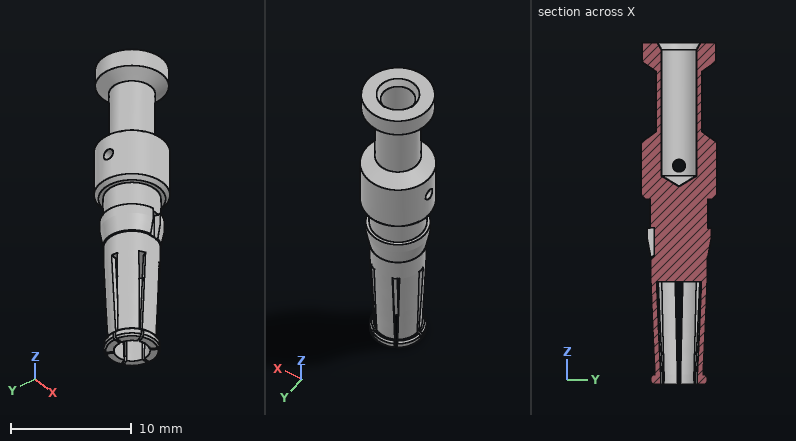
import cadquery as cq
import math

total_length = 28.25
head_rim_height = 1.65
head_cone_height = 0.75
neck_bottom = 20.9
barrel_top = 20.03
barrel_bottom = 15.65
barrel_chamfer = 0.37
collar_top = 12.95
collar_cone_top = 12.03
collar_bottom = 10.42
collar_edge_chamfer = 0.08
finger_root = 8.48
finger_bend = 4.3
lip_height = 0.8
lip_chamfer = 0.17

head_radius = 3.05
neck_radius = 1.92
barrel_radius = 6.3 / 2
shank_radius = 2.4
collar_radius = 2.68
collar_end_radius = shank_radius
socket_radius = 2.35
finger_bend_radius = 2.18
finger_end_radius = 2.0
lip_radius = socket_radius

bore_radius = 1.45
countersink_width = 0.35
countersink_depth = 0.6
bore_bottom = 17.23
drill_tip_angle = 118.0

inspection_radius = 1.0 / 2
inspection_height = 18.08

gap_width = 0.93
gap_floor_radius = 2.05
gap_ramp_height = 0.23

finger_thickness = 0.5
slot_count = 6
slot_root_width = 0.6
slot_tip_width = 0.2


def revolved(points):
    """Solid of revolution about Z from a closed (radius, height) outline."""
    return cq.Workplane("XZ").polyline(points).close().revolve(360, (0, 0), (0, 1))


def turned_body():
    head_rim_bottom = total_length - head_rim_height
    neck_top = head_rim_bottom - head_cone_height
    return revolved([
        (0, 0),
        (lip_radius - lip_chamfer, 0),
        (lip_radius, lip_chamfer),
        (lip_radius, lip_height - lip_chamfer),
        (lip_radius - lip_chamfer, lip_height),
        (finger_end_radius, lip_height),
        (finger_bend_radius, finger_bend),
        (socket_radius, finger_root),
        (socket_radius, collar_bottom),
        (collar_end_radius, collar_bottom + collar_edge_chamfer),
        (collar_radius, collar_cone_top),
        (collar_radius, collar_top),
        (shank_radius, collar_top),
        (shank_radius, barrel_bottom - barrel_chamfer),
        (barrel_radius - barrel_chamfer, barrel_bottom - barrel_chamfer),
        (barrel_radius, barrel_bottom),
        (barrel_radius, barrel_top),
        (neck_radius, neck_bottom),
        (neck_radius, neck_top),
        (head_radius, head_rim_bottom),
        (head_radius, total_length),
        (0, total_length),
    ])


def wire_bore():
    tip_depth = bore_radius / math.tan(math.radians(drill_tip_angle / 2))
    return revolved([
        (0, bore_bottom - tip_depth),
        (bore_radius, bore_bottom),
        (bore_radius, total_length - countersink_depth),
        (bore_radius + countersink_width, total_length),
        (0, total_length),
    ])


def inspection_hole():
    return (
        cq.Workplane("YZ")
        .center(0, inspection_height)
        .circle(inspection_radius)
        .extrude(-barrel_radius)
    )


def collar_gap():
    """Radial gap down to the groove floor, with a ramp at its lower end."""
    ring = revolved([
        (gap_floor_radius, collar_bottom + gap_ramp_height),
        (socket_radius, collar_bottom),
        (collar_radius, collar_bottom),
        (collar_radius, collar_top),
        (gap_floor_radius, collar_top),
    ])
    window = cq.Workplane("XY").box(
        gap_width, collar_radius, total_length, centered=(True, False, False)
    ).translate((0, -collar_radius, 0))
    return ring.intersect(window)


def socket_bore():
    """Bore following the inward bend of the fingers."""
    tip_bore_radius = finger_end_radius - finger_thickness
    return revolved([
        (0, 0),
        (tip_bore_radius, 0),
        (tip_bore_radius, lip_height),
        (finger_bend_radius - finger_thickness, finger_bend),
        (socket_radius - finger_thickness, finger_root),
        (0, finger_root),
    ])


def finger_slot(angle):
    """Slot from the axis outward, narrowing towards the tip."""
    slot = (
        cq.Workplane("YZ")
        .polyline([
            (-slot_tip_width / 2, 0),
            (slot_tip_width / 2, 0),
            (slot_root_width / 2, finger_root),
            (-slot_root_width / 2, finger_root),
        ])
        .close()
        .extrude(collar_radius)
    )
    return slot.rotate((0, 0, 0), (0, 0, 1), angle)


result = turned_body()
result = result.cut(wire_bore()).cut(inspection_hole())
result = result.cut(collar_gap()).cut(socket_bore())
for index in range(slot_count):
    result = result.cut(finger_slot(index * 360 / slot_count))